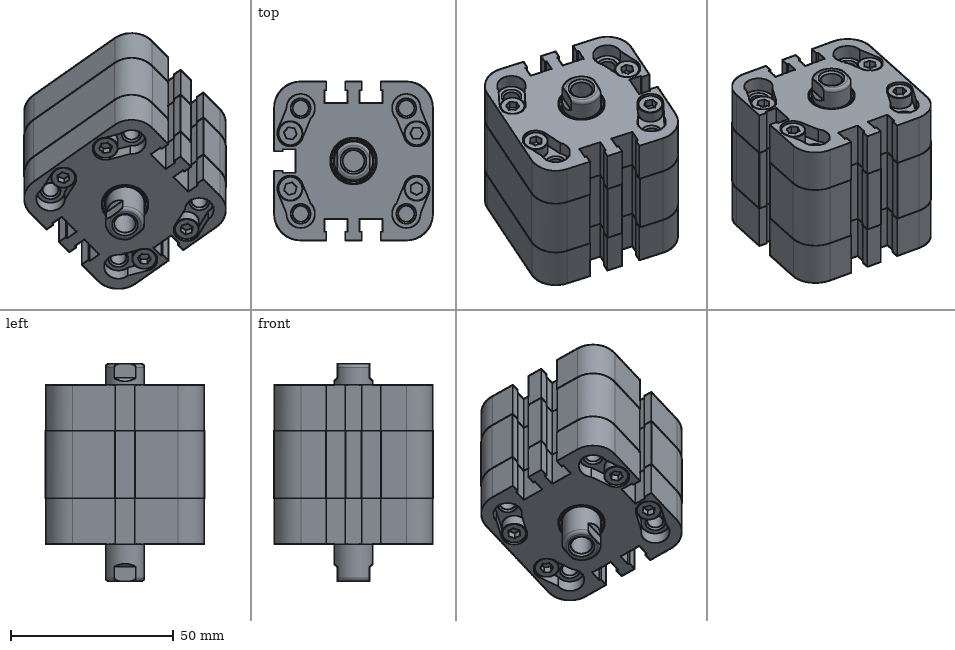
import cadquery as cq
import math

TOTAL_LENGTH = 67.0
CAP_HEIGHT = 14.1
BARREL_HEIGHT = 20.85
ROD_TOP_REACH = 6.55

BARREL_SIZE = 49.0
CAP_STEP = 0.1
HOLE_PITCH = 32.5

SLOT_FLOOR = 17.9
SLOT_SHOULDER = 21.7
PAIR_BARREL_OPENING = (2.55, 8.45)
PAIR_BARREL_UNDERCUT = (1.9, 8.9)
PAIR_CAP_OPENING = (2.5, 8.4)
PAIR_CAP_UNDERCUT = (1.9, 9.0)
SINGLE_BARREL_HALF_OPENING = 3.0
SINGLE_CAP_HALF_OPENING = 2.95
SINGLE_HALF_UNDERCUT = 3.55
MOUTH_CHAMFER = 0.15

POCKET_DEPTH = 4.55
POCKET_DIAMETER = 8.8
HOLE_DIAMETER = 4.9
HOLE_CHAMFER = 0.6
SCREW_X = 19.4
SCREW_Y = 8.5
SCREW_POCKET_DIAMETER = 8.05
HEAD_DIAMETER = 7.5
HEAD_RECESS = 0.55
HEAD_CHAMFER = 0.15
SOCKET_ACROSS_CORNERS = 4.0
SOCKET_DEPTH = 2.5
SOCKET_TURNS = {(-1, 1): -10.0, (1, 1): 0.0, (-1, -1): 15.0, (1, -1): 30.0}

ROD_DIAMETER = 12.0
ROD_ROUND = 1.15
FLAT_WIDTH = 10.0
FLAT_LENGTH = 4.4
ROD_HOLE_DIAMETER = 6.6
ROD_HOLE_CHAMFER = 0.7
ROD_HOLE_DEPTH = 12.05
RECESS_RIM_DIAMETER = 14.4
RECESS_DIAMETER = 14.0
SEAL_DIAMETER = 13.7
SEAL_LIP_DIAMETER = 12.5
SEAL_BEVEL_DEPTH = 0.3
SEAL_LIP_DEPTH = 0.7

CUTTER_OVERRUN = 0.7
PLACE_TOLERANCE = 0.1

CORNER_CENTRE = HOLE_PITCH / 2
HOUSING_HEIGHT = BARREL_HEIGHT + 2 * CAP_HEIGHT
BARREL_HALF_HEIGHT = BARREL_HEIGHT / 2
CAP_FACE_Z = HOUSING_HEIGHT / 2
ROD_TOP_Z = CAP_FACE_Z + ROD_TOP_REACH
ROD_BOTTOM_Z = ROD_TOP_Z - TOTAL_LENGTH
POCKET_FLOOR_Z = CAP_FACE_Z - POCKET_DEPTH
CAP_SIZE = BARREL_SIZE - 2 * CAP_STEP
SIGNS = [(x, y) for x in (-1, 1) for y in (-1, 1)]


def rounded_block(size, bottom_z, height):
    """Square block whose corner arcs are centred on the mounting holes."""
    block = cq.Workplane("XY", origin=(0, 0, bottom_z)).rect(size, size).extrude(height)
    return block.edges("|Z").fillet(size / 2 - CORNER_CENTRE)


def t_slot(opening, undercut, bottom_z, height):
    """T-slot cutter in the +Y side; opening and undercut are (start, end) in X."""
    outside = BARREL_SIZE / 2 + CUTTER_OVERRUN
    mouth = cq.Workplane("XY").box(opening[1] - opening[0], outside - SLOT_FLOOR, height, centered=False)
    pocket = cq.Workplane("XY").box(
        undercut[1] - undercut[0], SLOT_SHOULDER - SLOT_FLOOR, height, centered=False
    )
    mouth = mouth.translate((opening[0], SLOT_FLOOR, bottom_z))
    return mouth.union(pocket.translate((undercut[0], SLOT_FLOOR, bottom_z)))


def cut_slots(block, pair_opening, pair_undercut, single_half_opening, bottom_z, height):
    """Cut the slot pairs in the Y sides and the single slot in the -X side."""
    slot = t_slot(pair_opening, pair_undercut, bottom_z, height)
    mirrored_slot = slot.mirror("YZ")
    for cutter in (slot, mirrored_slot):
        block = block.cut(cutter).cut(cutter.mirror("XZ"))
    single_slot = t_slot(
        (-single_half_opening, single_half_opening),
        (-SINGLE_HALF_UNDERCUT, SINGLE_HALF_UNDERCUT),
        bottom_z,
        height,
    )
    return block.cut(single_slot.rotate((0, 0, 0), (0, 0, 1), 90))


def break_mouth_edges(barrel):
    """Chamfer the upright edges where the slots meet the flat outer faces."""
    face_offset = BARREL_SIZE / 2 - PLACE_TOLERANCE
    mouth_edges = []
    for edge in barrel.edges("|Z").vals():
        near, far = sorted([abs(edge.Center().x), abs(edge.Center().y)])
        if far > face_offset and near < CORNER_CENTRE - PLACE_TOLERANCE:
            mouth_edges.append(edge)
    return barrel.newObject(mouth_edges).chamfer(MOUTH_CHAMFER)


def make_barrel():
    """Middle profile with a plain bore for the rod."""
    barrel = rounded_block(BARREL_SIZE, -BARREL_HALF_HEIGHT, BARREL_HEIGHT)
    barrel = cut_slots(
        barrel,
        PAIR_BARREL_OPENING,
        PAIR_BARREL_UNDERCUT,
        SINGLE_BARREL_HALF_OPENING,
        -BARREL_HALF_HEIGHT,
        BARREL_HEIGHT,
    )
    bore = cq.Workplane("XY").circle(ROD_DIAMETER / 2).extrude(BARREL_HALF_HEIGHT, both=True)
    return break_mouth_edges(barrel).cut(bore)


def corner_pocket(x_sign, y_sign):
    """Cutter for a round pocket joined to the narrower pocket of the screw head."""
    hole_place = (x_sign * CORNER_CENTRE, y_sign * CORNER_CENTRE)
    screw_place = (x_sign * SCREW_X, y_sign * SCREW_Y)
    run = screw_place[0] - hole_place[0]
    rise = screw_place[1] - hole_place[1]
    middle = ((hole_place[0] + screw_place[0]) / 2, (hole_place[1] + screw_place[1]) / 2)
    floor = cq.Workplane("XY", origin=(0, 0, POCKET_FLOOR_Z))
    pocket = floor.center(*hole_place).circle(POCKET_DIAMETER / 2).extrude(POCKET_DEPTH)
    channel = (
        floor.center(*middle)
        .transformed(rotate=(0, 0, math.degrees(math.atan2(rise, run))))
        .slot2D(math.hypot(run, rise) + SCREW_POCKET_DIAMETER, SCREW_POCKET_DIAMETER)
        .extrude(POCKET_DEPTH)
    )
    return pocket.union(channel)


def mounting_hole(x_sign, y_sign):
    """Cutter for the chamfered hole through the pocket floor."""
    radius = HOLE_DIAMETER / 2
    profile = [
        (0, BARREL_HALF_HEIGHT),
        (radius, BARREL_HALF_HEIGHT),
        (radius, POCKET_FLOOR_Z - HOLE_CHAMFER),
        (radius + HOLE_CHAMFER, POCKET_FLOOR_Z),
        (0, POCKET_FLOOR_Z),
    ]
    hole = cq.Workplane("XZ").polyline(profile).close().revolve(360, (0, 0), (0, 1))
    return hole.translate((x_sign * CORNER_CENTRE, y_sign * CORNER_CENTRE, 0))


def screw_head(x_sign, y_sign):
    """Socket screw head standing on the pocket floor."""
    head = (
        cq.Workplane("XY", origin=(x_sign * SCREW_X, y_sign * SCREW_Y, POCKET_FLOOR_Z))
        .circle(HEAD_DIAMETER / 2)
        .extrude(POCKET_DEPTH - HEAD_RECESS)
    )
    head = head.faces(">Z").edges().chamfer(HEAD_CHAMFER)
    return (
        head.faces(">Z")
        .workplane(origin=(x_sign * SCREW_X, y_sign * SCREW_Y, 0))
        .transformed(rotate=(0, 0, SOCKET_TURNS[(x_sign, y_sign)]))
        .polygon(6, SOCKET_ACROSS_CORNERS)
        .cutBlind(-SOCKET_DEPTH)
    )


def rod_passage():
    """Cutter for the rod bore of a cap and the bevelled seal recess at its mouth."""
    ledge_z = CAP_FACE_Z - (RECESS_RIM_DIAMETER - RECESS_DIAMETER) / 2
    profile = [
        (0, BARREL_HALF_HEIGHT),
        (ROD_DIAMETER / 2, BARREL_HALF_HEIGHT),
        (ROD_DIAMETER / 2, CAP_FACE_Z - SEAL_LIP_DEPTH),
        (SEAL_LIP_DIAMETER / 2, CAP_FACE_Z - SEAL_LIP_DEPTH),
        (SEAL_LIP_DIAMETER / 2, ledge_z - SEAL_BEVEL_DEPTH),
        (SEAL_DIAMETER / 2, ledge_z),
        (RECESS_DIAMETER / 2, ledge_z),
        (RECESS_RIM_DIAMETER / 2, CAP_FACE_Z),
        (0, CAP_FACE_Z),
    ]
    return cq.Workplane("XZ").polyline(profile).close().revolve(360, (0, 0), (0, 1))


def make_top_cap():
    """End cap with its slots, corner pockets, screw heads and rod passage."""
    cap = rounded_block(CAP_SIZE, BARREL_HALF_HEIGHT, CAP_HEIGHT)
    cap = cut_slots(
        cap,
        PAIR_CAP_OPENING,
        PAIR_CAP_UNDERCUT,
        SINGLE_CAP_HALF_OPENING,
        BARREL_HALF_HEIGHT,
        CAP_HEIGHT,
    )
    for signs in SIGNS:
        cap = cap.cut(corner_pocket(*signs)).cut(mounting_hole(*signs))
        cap = cap.union(screw_head(*signs))
    return cap.cut(rod_passage())


def wrench_flat_cutter():
    """Cutter for the +X wrench flat at the top end, with its 45 degree run-out."""
    flat_x = FLAT_WIDTH / 2
    run_out = ROD_DIAMETER / 2 - flat_x
    flat_bottom_z = ROD_TOP_Z - FLAT_LENGTH
    profile = [
        (flat_x, ROD_TOP_Z),
        (flat_x, flat_bottom_z),
        (flat_x + 2 * run_out, flat_bottom_z - 2 * run_out),
        (flat_x + 2 * run_out, ROD_TOP_Z),
    ]
    return cq.Workplane("XZ").polyline(profile).close().extrude(ROD_DIAMETER / 2, both=True)


def rod_end_hole():
    """Cutter for the chamfered blind hole in the top end."""
    radius = ROD_HOLE_DIAMETER / 2
    profile = [
        (0, ROD_TOP_Z),
        (radius + ROD_HOLE_CHAMFER, ROD_TOP_Z),
        (radius, ROD_TOP_Z - ROD_HOLE_CHAMFER),
        (radius, ROD_TOP_Z - ROD_HOLE_DEPTH),
        (0, ROD_TOP_Z - ROD_HOLE_DEPTH),
    ]
    return cq.Workplane("XZ").polyline(profile).close().revolve(360, (0, 0), (0, 1))


def make_rod():
    """Through rod with the same rounded, flatted and drilled shape at both ends."""
    rod_centre_z = (ROD_TOP_Z + ROD_BOTTOM_Z) / 2
    rod = cq.Workplane("XY", origin=(0, 0, ROD_BOTTOM_Z)).circle(ROD_DIAMETER / 2).extrude(TOTAL_LENGTH)
    rod = rod.faces("<Z or >Z").edges().fillet(ROD_ROUND)
    flat = wrench_flat_cutter()
    for cutter in (flat, flat.mirror("YZ"), rod_end_hole()):
        rod = rod.cut(cutter).cut(cutter.mirror("XY", (0, 0, rod_centre_z)))
    return rod


barrel = make_barrel()
top_cap = make_top_cap()
bottom_cap = top_cap.mirror("XY")
rod = make_rod()

result = cq.Compound.makeCompound([barrel.val(), top_cap.val(), bottom_cap.val(), rod.val()])